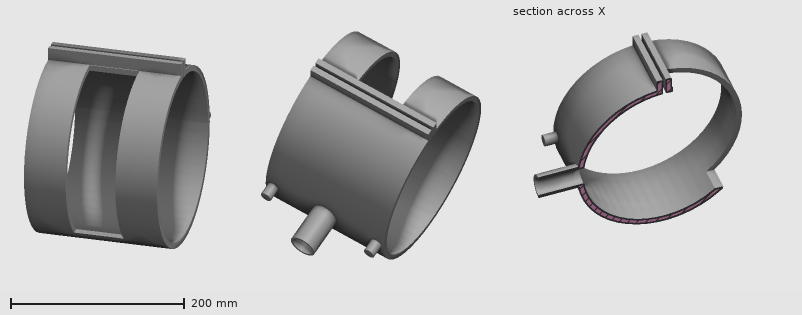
import cadquery as cq

width = 160.0
depth = 262.0
height = 228.2

outer_radius = 107.0
inner_radius = 100.0

gap = 4.0
lug_thickness = 7.0
lug_outer_y = gap / 2 + lug_thickness
lug_top = height - outer_radius

window_width = 60.0
window_bottom = -78.0
window_top_y = -10.0

pipe_diameter = 32.0
bore_diameter = 26.2
pipe_end = depth - outer_radius
peg_diameter = 14.0
peg_offset = 70.0
peg_end = 122.5
root_y = (inner_radius + outer_radius) / 2


def x_cylinder(radius):
    return cq.Workplane("YZ", origin=(-width / 2, 0, 0)).circle(radius).extrude(width)


def y_cylinder(diameter, x, start, end):
    plane = cq.Plane(origin=(x, start, 0), xDir=(1, 0, 0), normal=(0, 1, 0))
    return cq.Workplane(plane).circle(diameter / 2).extrude(end - start)


def box_between(size_x, y_range, z_range):
    """Box centred on X = 0 and spanning the given Y and Z ranges."""
    y_low, y_high = y_range
    z_low, z_high = z_range
    box = cq.Workplane("XY").box(size_x, y_high - y_low, z_high - z_low)
    return box.translate((0, (y_low + y_high) / 2, (z_low + z_high) / 2))


body = x_cylinder(outer_radius)
body = body.union(box_between(width, (-lug_outer_y, lug_outer_y), (0, lug_top)))

body = body.union(y_cylinder(pipe_diameter, 0, root_y, pipe_end))
for peg_x in (-peg_offset, peg_offset):
    body = body.union(y_cylinder(peg_diameter, peg_x, root_y, peg_end))

body = body.cut(x_cylinder(inner_radius))
body = body.cut(box_between(width, (-gap / 2, gap / 2), (0, lug_top)))

body = body.cut(y_cylinder(bore_diameter, 0, 0, pipe_end))

window = box_between(window_width, (-outer_radius, window_top_y), (window_bottom, lug_top))
result = body.cut(window)